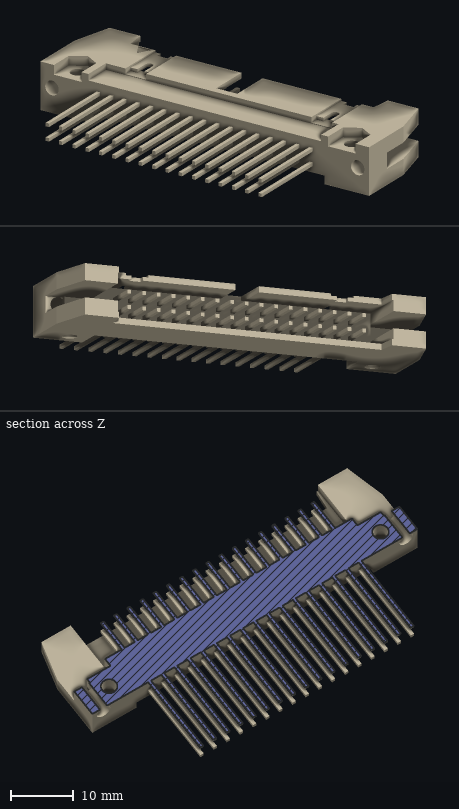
import cadquery as cq

half_length = 31.4
height = 8.5
ear_y = 17.35
mid_z = height / 2

shroud_y = 13.8
shoulder_y = 10.0
ear_outer_x = 29.5
ear_inner_x = 23.6
ear_root_x = 23.25

wall = 1.0
cavity_half_x = 23.85
cavity_floor_y = 7.6
cavity_top_z = height - wall

latch_gap = 2.8
latch_floor_y = 6.0
latch_outer_floor_y = 5.2
latch_step_x = 28.4

step_depth_y = 5.1
top_step_half_x = 22.2
bottom_step_half_x = 22.85
top_step_height = 1.1
bottom_step_height = 1.5

hole_diameter = 2.6
mount_x = 26.2
mount_y = 2.9
nut_half_width = 2.65
nut_shoulder_y = 4.35
nut_apex_y = 5.9
nut_depth = 1.7
ear_hole_x = 29.2
ear_hole_rise = 0.16

key_width = 4.0
key_floor_y = 6.4
groove_width = 3.95
groove_depth = 0.4
groove_spacing = 35.55
groove_floor_y = 6.6
slot_width = 1.4
slot_end_y = 9.7
lip_width = 1.95
lip_depth = 0.95

pin_count = 17
row_count = 2
contact_span = 40.65
pin_pitch = contact_span / (pin_count - 1)
pin_size = 0.6
tail_length = 14.95
contact_tip_y = 13.6

mark_base_y = 13.6
mark_tip_y = 11.2
mark_half_width = 1.3
mark_depth = 0.2

first_pin_x = -contact_span / 2
groove_middle_x = pin_pitch / 2


def block(x_range, y_range, z_range):
    """Box given by its lower and upper limits along each axis."""
    sizes = [high - low for low, high in (x_range, y_range, z_range)]
    corner = (x_range[0], y_range[0], z_range[0])
    return cq.Workplane("XY").box(*sizes, centered=False).translate(corner)


def centred(middle, size):
    """Limits of a span of the given size around its middle."""
    return (middle - size / 2, middle + size / 2)


def shell():
    """Solid outline with two tapered ears."""
    right_side = [
        (half_length, 0),
        (half_length, shoulder_y),
        (ear_outer_x, ear_y),
        (ear_inner_x, ear_y),
        (ear_root_x, shroud_y),
    ]
    left_side = [(-x, y) for x, y in reversed(right_side)]
    return cq.Workplane("XY").polyline(right_side + left_side).close().extrude(height)


def cavity():
    """Mating cavity together with the stepped latch slots at both ends."""
    slot_z = centred(mid_z, latch_gap)
    cut = block((-cavity_half_x, cavity_half_x), (cavity_floor_y, ear_y), (wall, cavity_top_z))
    for side in (-1, 1):
        inner_x = sorted((side * cavity_half_x, side * latch_step_x))
        outer_x = sorted((side * latch_step_x, side * half_length))
        cut = cut.union(block(inner_x, (latch_floor_y, ear_y), slot_z))
        cut = cut.union(block(outer_x, (latch_outer_floor_y, ear_y), slot_z))
    return cut


def solder_face_steps():
    """Long recesses along the top and bottom edges of the solder face."""
    step_y = (0, step_depth_y)
    top = block((-top_step_half_x, top_step_half_x), step_y, (height - top_step_height, height))
    bottom = block((-bottom_step_half_x, bottom_step_half_x), step_y, (0, bottom_step_height))
    return top.union(bottom)


def mounting(side):
    """Vertical hole with nut pocket and the hole from the solder face into the latch slot."""
    x = side * mount_x
    pocket_outline = [
        (x - nut_half_width, 0),
        (x + nut_half_width, 0),
        (x + nut_half_width, nut_shoulder_y),
        (x, nut_apex_y),
        (x - nut_half_width, nut_shoulder_y),
    ]
    pocket = (cq.Workplane("XY").workplane(offset=height - nut_depth)
              .polyline(pocket_outline).close().extrude(nut_depth))
    vertical = cq.Workplane("XY").center(x, mount_y).circle(hole_diameter / 2).extrude(height)
    into_slot = (cq.Workplane("XZ").center(side * ear_hole_x, mid_z + ear_hole_rise)
                 .circle(hole_diameter / 2).extrude(-latch_outer_floor_y))
    return pocket.union(vertical).union(into_slot)


def relief_groove(x):
    """Shallow groove in the top wall with a round-ended slot and a notched lip."""
    wall_z = (cavity_top_z, height)
    span_x = centred(x, groove_width)
    arc_y = slot_end_y - slot_width / 2
    cut = block(span_x, (groove_floor_y, shroud_y), (height - groove_depth, height))
    cut = cut.union(block(span_x, (step_depth_y, groove_floor_y), wall_z))
    cut = cut.union(block(centred(x, slot_width), (groove_floor_y, arc_y), wall_z))
    round_end = (cq.Workplane("XY").workplane(offset=cavity_top_z)
                 .center(x, arc_y).circle(slot_width / 2).extrude(wall))
    lip_notch = block(centred(x, lip_width), (shroud_y - lip_depth, shroud_y), wall_z)
    return cut.union(round_end).union(lip_notch)


def pin_one_mark():
    """Triangle engraved above the first contact."""
    corners = [
        (first_pin_x - mark_half_width, mark_base_y),
        (first_pin_x + mark_half_width, mark_base_y),
        (first_pin_x, mark_tip_y),
    ]
    return (cq.Workplane("XY").workplane(offset=height - mark_depth)
            .polyline(corners).close().extrude(mark_depth))


def contacts():
    """Two rows of square pins running through the cavity floor."""
    length = tail_length + contact_tip_y
    return (cq.Workplane("XZ", origin=(0, -tail_length, mid_z))
            .rarray(pin_pitch, pin_pitch, pin_count, row_count)
            .rect(pin_size, pin_size).extrude(-length))


body = shell().cut(cavity()).cut(solder_face_steps())
for side in (-1, 1):
    body = body.cut(mounting(side))
    body = body.cut(relief_groove(groove_middle_x + side * groove_spacing / 2))

body = body.cut(block(centred(0, key_width), (key_floor_y, shroud_y), (cavity_top_z, height)))
body = body.cut(pin_one_mark())

result = body.union(contacts())